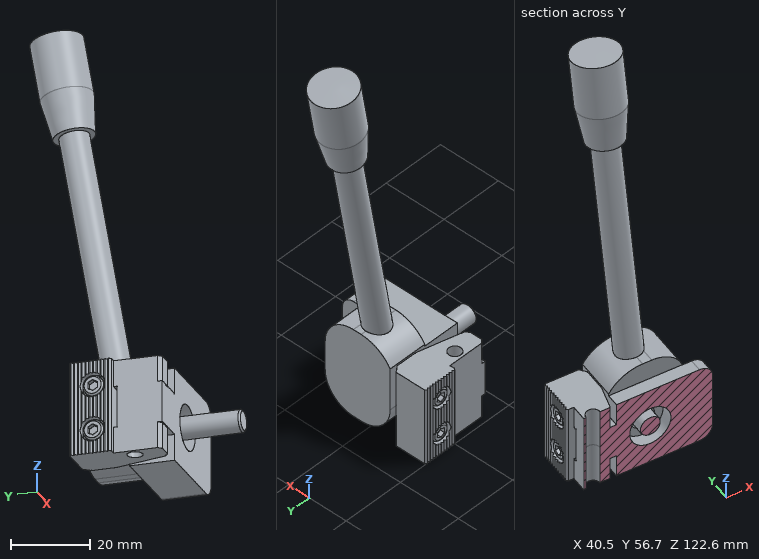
import cadquery as cq
import math

BODY_LEFT = -10.0
BODY_RIGHT = 18.5
BODY_DEPTH = 12.0
BODY_HEIGHT = 25.0
BODY_CORNER_RADIUS = 4.0
BORE_DIAMETER = 12.0
TONGUE_HEIGHT = 11.0

JAW_LEFT = -19.7
JAW_FRONT = 0.2
JAW_REAR = 24.1
JAW_CONTACT_FRONT = 15.5
JAW_CONTACT_REAR = 22.2
JAW_NOSE_INSET = 3.8
JAW_REAR_BEVEL = 1.5
JAW_EDGE_CHAMFER = 1.0
HINGE_X = -16.9
HINGE_Y = 8.2
HINGE_DIAMETER = 4.0

PAD_LEFT = -22.0
PAD_FRONT = 13.0
TOOTH_COUNT = 11
TOOTH_PITCH = 1.0
TOOTH_DEPTH = 0.6
PAD_BASE = PAD_LEFT + TOOTH_DEPTH
PAD_CENTER_Y = (PAD_FRONT + JAW_REAR) / 2

SCREW_OFFSET = 6.0
SCREW_Y = 18.0
SCREW_POCKET_DIAMETER = 6.5
SCREW_POCKET_DEPTH = 2.5
SCREW_HEAD_DIAMETER = 5.5
SCREW_HEAD_CHAMFER = 0.5
SOCKET_ACROSS_FLATS = 2.6
SOCKET_DEPTH = 1.5

CAM_DEPTH = 12.7
CAM_TOP = 18.6
CAM_LEFT_RADIUS = -BODY_LEFT
CAM_RIGHT_RADIUS = 9.8
CAM_FLAT_WIDTH = 2.7
CAM_FLAT_TOP = 13.1
CAM_FLAT_BOTTOM = -0.7
CAM_BOTTOM = CAM_FLAT_BOTTOM - CAM_LEFT_RADIUS
CAM_CENTER_Y = BODY_DEPTH + CAM_DEPTH / 2

PIN_DIAMETER = 6.0
PIN_END = -15.0
PIN_CHAMFER = 0.5
PIN_CLEARANCE_DIAMETER = 7.0
PIN_CLEARANCE_DEPTH = 2.5

LEVER_TILT = 10
LEVER_PIVOT_Z = 15.3
ROD_DIAMETER = 8.0
KNOB_START = 68.3
KNOB_TAPER_LENGTH = 10.9
KNOB_LENGTH = 26.7
KNOB_CROWN = 1.2
KNOB_DIAMETER = 14.0
KNOB_SMALL_DIAMETER = 11.0


def box(x_min, x_max, y_min, y_max, height):
    """Block centred on Z = 0."""
    return cq.Workplane("XY").box(
        x_max - x_min, y_max - y_min, height, centered=(False, False, True)
    ).translate((x_min, y_min, 0))


def cylinder_y(diameter, y_start, y_end):
    """Cylinder on the pin axis."""
    sketch = cq.Workplane("XZ", origin=(0, y_start, 0)).circle(diameter / 2)
    return sketch.extrude(y_start - y_end)


def make_body():
    plate = box(BODY_LEFT, BODY_RIGHT, 0, BODY_DEPTH, BODY_HEIGHT)
    plate = plate.edges("|Y and >X").fillet(BODY_CORNER_RADIUS)
    tongue = box(JAW_LEFT, BODY_LEFT, 0, BODY_DEPTH, TONGUE_HEIGHT)
    return plate.union(tongue).cut(cylinder_y(BORE_DIAMETER, 0, BODY_DEPTH))


def tooth_points():
    """Zigzag of pointed teeth along the pad, from the rear to the front."""
    row_rear = PAD_CENTER_Y + TOOTH_COUNT * TOOTH_PITCH / 2
    points = [(PAD_BASE, row_rear)]
    for index in range(TOOTH_COUNT):
        points.append((PAD_LEFT, row_rear - (index + 0.5) * TOOTH_PITCH))
        points.append((PAD_BASE, row_rear - (index + 1) * TOOTH_PITCH))
    return points


def make_jaw():
    """Jaw of constant section with a slot that takes the body tongue."""
    outline = [
        (JAW_LEFT, JAW_FRONT),
        (BODY_LEFT - JAW_NOSE_INSET, JAW_FRONT),
        (BODY_LEFT, JAW_CONTACT_FRONT),
        (BODY_LEFT, JAW_CONTACT_REAR),
        (BODY_LEFT - JAW_REAR_BEVEL, JAW_REAR),
        (PAD_BASE, JAW_REAR),
        *tooth_points(),
        (PAD_BASE, PAD_FRONT),
        (JAW_LEFT, PAD_FRONT),
    ]
    jaw = cq.Workplane("XY").polyline(outline).close().extrude(BODY_HEIGHT / 2, both=True)
    jaw = jaw.edges("|Z and <Y").chamfer(JAW_EDGE_CHAMFER)
    return jaw.cut(box(JAW_LEFT, BODY_LEFT, 0, PAD_FRONT, TONGUE_HEIGHT))


def add_screw(jaw, z):
    """Socket screw sunk in a round pocket of the pad."""
    mouth = cq.Workplane("YZ", origin=(PAD_LEFT, SCREW_Y, z))
    floor = cq.Workplane("YZ", origin=(PAD_LEFT + SCREW_POCKET_DEPTH, SCREW_Y, z))
    pocket = mouth.circle(SCREW_POCKET_DIAMETER / 2).extrude(SCREW_POCKET_DEPTH)
    head = floor.circle(SCREW_HEAD_DIAMETER / 2).extrude(TOOTH_DEPTH - SCREW_POCKET_DEPTH)
    head = head.faces("<X").edges().chamfer(SCREW_HEAD_CHAMFER)
    across_corners = SOCKET_ACROSS_FLATS / math.cos(math.radians(30))
    socket = (
        cq.Workplane("YZ", origin=(PAD_BASE, SCREW_Y, z))
        .transformed(rotate=(0, 0, 90))
        .polygon(6, across_corners)
        .extrude(SOCKET_DEPTH)
    )
    return jaw.cut(pocket).union(head.cut(socket))


def make_cam():
    """Cam with a flat left side bearing on the jaw and rounded corners."""
    drop = CAM_TOP - CAM_FLAT_TOP
    shoulder_radius = (BODY_LEFT**2 + drop**2) / (2 * drop)
    half_angle = math.asin(-BODY_LEFT / shoulder_radius) / 2
    shoulder_mid = (
        -shoulder_radius * math.sin(half_angle),
        CAM_TOP - shoulder_radius * (1 - math.cos(half_angle)),
    )
    right = CAM_FLAT_WIDTH + CAM_RIGHT_RADIUS
    profile = (
        cq.Workplane("XZ", origin=(0, BODY_DEPTH, 0))
        .moveTo(BODY_LEFT, CAM_FLAT_BOTTOM)
        .lineTo(BODY_LEFT, CAM_FLAT_TOP)
        .threePointArc(shoulder_mid, (0, CAM_TOP))
        .lineTo(CAM_FLAT_WIDTH, CAM_TOP)
        .radiusArc((right, CAM_TOP - CAM_RIGHT_RADIUS), CAM_RIGHT_RADIUS)
        .lineTo(right, CAM_BOTTOM + CAM_RIGHT_RADIUS)
        .radiusArc((CAM_FLAT_WIDTH, CAM_BOTTOM), CAM_RIGHT_RADIUS)
        .lineTo(0, CAM_BOTTOM)
        .radiusArc((BODY_LEFT, CAM_FLAT_BOTTOM), CAM_LEFT_RADIUS)
        .close()
    )
    clearance = cylinder_y(PIN_CLEARANCE_DIAMETER, BODY_DEPTH, BODY_DEPTH + PIN_CLEARANCE_DEPTH)
    return profile.extrude(-CAM_DEPTH).cut(clearance)


def make_pin():
    pin = cylinder_y(PIN_DIAMETER, PIN_END, CAM_CENTER_Y)
    return pin.faces("<Y").edges().chamfer(PIN_CHAMFER)


def make_lever():
    """Rod and knob turned as one profile, then tilted backwards."""
    knob_top = KNOB_START + KNOB_LENGTH
    half_profile = [
        (0, 0),
        (ROD_DIAMETER / 2, 0),
        (ROD_DIAMETER / 2, KNOB_START),
        (KNOB_SMALL_DIAMETER / 2, KNOB_START),
        (KNOB_DIAMETER / 2, KNOB_START + KNOB_TAPER_LENGTH),
        (KNOB_DIAMETER / 2, knob_top),
        (0, knob_top + KNOB_CROWN),
    ]
    lever = cq.Workplane("XZ").polyline(half_profile).close().revolve(360, (0, 0), (0, 1))
    lever = lever.rotate((0, 0, 0), (1, 0, 0), -LEVER_TILT)
    return lever.translate((0, CAM_CENTER_Y, LEVER_PIVOT_Z))


jaw = make_jaw()
for screw_z in (-SCREW_OFFSET, SCREW_OFFSET):
    jaw = add_screw(jaw, screw_z)

hinge_hole = (
    cq.Workplane("XY")
    .center(HINGE_X, HINGE_Y)
    .circle(HINGE_DIAMETER / 2)
    .extrude(BODY_HEIGHT / 2, both=True)
)
result = make_body().union(jaw).cut(hinge_hole).union(make_cam()).union(make_pin()).union(make_lever())